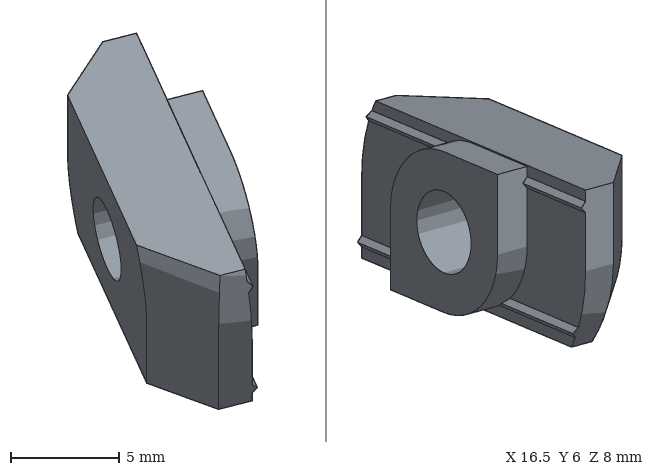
import cadquery as cq
import math

length = 16.5
height = 8.0
body_depth = 4.25
bevel = 2.6
boss_radius = 3.95
boss_depth = 1.75
hole_diameter = 4.0
ridge_offset = 3.17
ridge_half_width = 0.28
ridge_height = 0.25

end_radius = length / 2
half_height = height / 2
total_depth = body_depth + boss_depth


def arc_point(radius, z):
    """Point at height z on a circle about the origin, on its +X side."""
    return (math.sqrt(radius**2 - z**2), z)


def turned(point):
    """Point rotated half a turn about the origin."""
    return (-point[0], -point[1])


def twist_prism(radius, half_width, start, depth):
    """Block whose upper right and lower left ends are arcs about its center."""
    arc_end = arc_point(radius, half_width)
    arc_middle = arc_point(radius, half_width / 2)
    return (
        cq.Workplane("XZ", origin=(0, start, 0))
        .moveTo(radius, -half_width)
        .lineTo(radius, 0)
        .threePointArc(arc_middle, arc_end)
        .lineTo(-radius, half_width)
        .lineTo(-radius, 0)
        .threePointArc(turned(arc_middle), turned(arc_end))
        .close()
        .extrude(-depth)
    )


def bevel_envelope():
    """Prism along the right-hand bevel, with the end arc repeated square to the slope."""
    flat_end = end_radius - bevel
    shift = end_radius / math.sqrt(2)
    slope_plane = cq.Plane(
        origin=(flat_end - shift, shift, 0), xDir=(1, -1, 0), normal=(-1, -1, 0)
    )
    return (
        cq.Workplane(slope_plane)
        .moveTo(-length, -half_height)
        .lineTo(end_radius, -half_height)
        .lineTo(end_radius, 0)
        .threePointArc(
            arc_point(end_radius, half_height / 2), arc_point(end_radius, half_height)
        )
        .lineTo(-length, half_height)
        .close()
        .extrude(length, both=True)
    )


def ridge(z):
    """Triangular ridge running along the back face at height z."""
    return (
        cq.Workplane("YZ", origin=(-end_radius, 0, 0))
        .moveTo(body_depth, z - ridge_half_width)
        .lineTo(body_depth + ridge_height, z)
        .lineTo(body_depth, z + ridge_half_width)
        .close()
        .extrude(length)
    )


body = twist_prism(end_radius, half_height, 0, body_depth)
right_envelope = bevel_envelope()
left_envelope = right_envelope.rotate((0, 0, 0), (0, 1, 0), 180)
body = body.intersect(right_envelope).intersect(left_envelope)

body = body.union(twist_prism(boss_radius, boss_radius, body_depth, boss_depth))

outline_limit = twist_prism(end_radius, half_height, 0, total_depth)
for ridge_z in (-ridge_offset, ridge_offset):
    body = body.union(ridge(ridge_z).intersect(outline_limit))

hole = cq.Workplane("XZ").circle(hole_diameter / 2).extrude(-total_depth)
result = body.cut(hole)